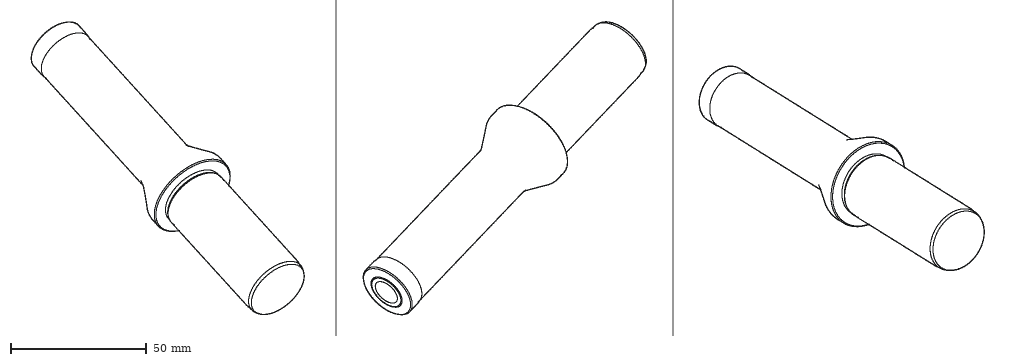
import cadquery as cq


head_radius = 22.5 / 2
head_length = 7.2
head_rear_taper_length = 1.3
head_front_chamfer = 0.5
face_slope_depth = 0.3
front_face_radius = 9.7
boss_height = 0.1
boss_base_radius = 14.3 / 2
boss_face_radius = 13.4 / 2

recess_mouth_radius = 10.1 / 2
recess_radius = 8.5 / 2
recess_chamfer_depth = 0.3
recess_cone_depth = 0.5

shank_radius = 22.0 / 2
cone_start = 74.0
cone_end = 85.8
cone_foot_fillet = 4.7
cone_rim_fillet = 2.8
flange_radius = 34.0 / 2
flange_end = 91.0
flange_chamfer = 0.5

spigot_radius = 25.0 / 2
relief_radius = 24.5 / 2
neck_end = 92.5
neck_taper_length = 0.6
tip_start = 143.2
tip_taper_length = 0.9
end_chamfer_length = 1.2
end_chamfer_height = 0.5
total_length = 147.0

selection_margin = 0.07


def revolve_about_x(points):
    """Turn a closed (axial position, radius) outline about the X axis."""
    return cq.Workplane("XY").polyline(points).close().revolve(360, (0, 0, 0), (1, 0, 0))


def at_circle(position, radius):
    """Select the turned edge that has one axial position and radius."""
    reach = radius + selection_margin
    return cq.selectors.BoxSelector(
        (position - selection_margin, -reach, -reach),
        (position + selection_margin, reach, reach),
        boundingbox=True,
    )


def make_head():
    cone_mouth = recess_chamfer_depth
    slope_end = boss_height + face_slope_depth
    return revolve_about_x([
        (cone_mouth + recess_cone_depth, 0),
        (cone_mouth, recess_radius),
        (0, recess_mouth_radius),
        (0, boss_face_radius),
        (boss_height, boss_base_radius),
        (boss_height, front_face_radius),
        (slope_end, head_radius - head_front_chamfer),
        (slope_end + head_front_chamfer, head_radius),
        (head_length - head_rear_taper_length, head_radius),
        (head_length, shank_radius),
        (head_length, 0),
    ])


def make_shank():
    body = revolve_about_x([
        (head_length, 0),
        (head_length, shank_radius),
        (cone_start, shank_radius),
        (cone_end, flange_radius),
        (flange_end - flange_chamfer, flange_radius),
        (flange_end, flange_radius - flange_chamfer),
        (flange_end, relief_radius),
        (neck_end, relief_radius),
        (neck_end + neck_taper_length, spigot_radius),
        (tip_start, spigot_radius),
        (tip_start + tip_taper_length, relief_radius),
        (total_length - end_chamfer_length, relief_radius),
        (total_length, relief_radius - end_chamfer_height),
        (total_length, 0),
    ])
    body = body.edges(at_circle(cone_start, shank_radius)).fillet(cone_foot_fillet)
    return body.edges(at_circle(cone_end, flange_radius)).fillet(cone_rim_fillet)


head = make_head()
shank = make_shank()
result = cq.Compound.makeCompound([head.val(), shank.val()])